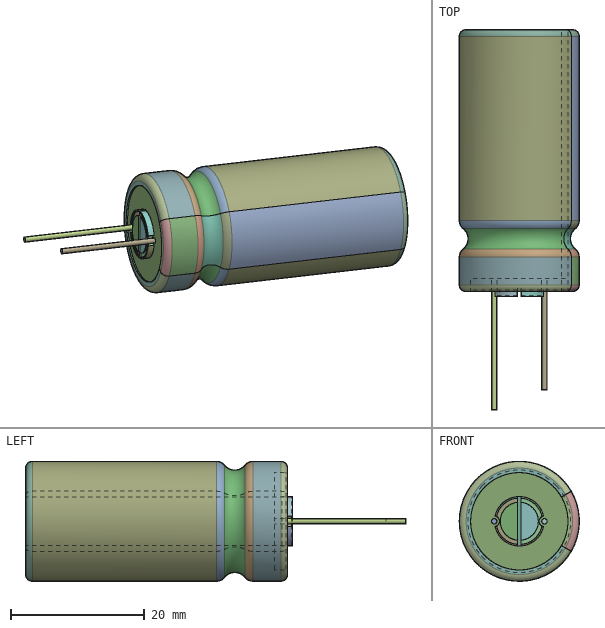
import cadquery as cq
import math


overall_length = 57.0

can_radius = 9.0
can_length = 39.3
end_fillet = 1.0
opening_radius = 7.3
stripe_angle = 60.0

neck_center = 7.9
neck_half_width = 2.75
neck_depth = 1.3
neck_arc_half_width = 1.55

plug_recess = 0.2
plug_thickness = 1.7
boss_radius = 3.7
boss_height = 0.75
groove_outer_radius = 3.5
groove_inner_radius = 2.85
groove_depth = 0.15
slot_width = 0.55
slot_length = 7.45
slot_depth = 1.6

lead_radius = 0.4
lead_offset = 3.75
lead_clearance_radius = 0.8
long_lead_length = overall_length - can_length
short_lead_length = 14.7

plug_back = plug_recess + plug_thickness


def cylinder(radius, start, end, x=0):
    """Cylinder along Y between two Y positions."""
    plane = cq.Plane(origin=(x, start, 0), xDir=(1, 0, 0), normal=(0, 1, 0))
    return cq.Workplane(plane).circle(radius).extrude(end - start)


def make_can_blank():
    """Solid can with rounded ends and a rolled neck."""
    sweep = 2 * math.atan(neck_depth / neck_half_width)
    shoulder_radius = (neck_half_width - neck_arc_half_width) / math.sin(sweep)
    tangent_radius = can_radius - shoulder_radius * (1 - math.cos(sweep))
    neck_bottom = (can_radius - neck_depth, neck_center)

    def shoulder_middle(side):
        radius = can_radius - shoulder_radius * (1 - math.cos(sweep / 2))
        y = neck_center + side * (neck_half_width - shoulder_radius * math.sin(sweep / 2))
        return (radius, y)

    fillet_inset = end_fillet * (1 - math.sqrt(0.5))
    flat_radius = can_radius - end_fillet
    profile = (
        cq.Workplane("XY")
        .lineTo(flat_radius, 0)
        .threePointArc((can_radius - fillet_inset, fillet_inset), (can_radius, end_fillet))
        .lineTo(can_radius, neck_center - neck_half_width)
        .threePointArc(shoulder_middle(-1), (tangent_radius, neck_center - neck_arc_half_width))
        .threePointArc(neck_bottom, (tangent_radius, neck_center + neck_arc_half_width))
        .threePointArc(shoulder_middle(1), (can_radius, neck_center + neck_half_width))
        .lineTo(can_radius, can_length - end_fillet)
        .threePointArc((can_radius - fillet_inset, can_length - fillet_inset), (flat_radius, can_length))
        .lineTo(0, can_length)
        .close()
    )
    return profile.revolve(360, (0, 0, 0), (0, 1, 0))


def make_stripe_sector():
    """Wedge around +X, outside the opening radius, that holds the polarity stripe."""
    reach = 2 * can_radius
    half_height = reach * math.tan(math.radians(stripe_angle / 2))
    wedge = (
        cq.Workplane("XZ")
        .polyline([(0, 0), (reach, -half_height), (reach, half_height)])
        .close()
        .extrude(-can_length)
    )
    return wedge.cut(cylinder(opening_radius, 0, can_length))


def make_plug():
    """Recessed base disc with a grooved, slotted boss, notched around the leads."""
    boss = cylinder(boss_radius, -boss_height, plug_recess)
    groove_floor = groove_depth - boss_height
    groove = cylinder(groove_outer_radius, -boss_height, groove_floor).cut(
        cylinder(groove_inner_radius, -boss_height, groove_floor)
    )
    boss = boss.cut(groove)
    for side in (-1, 1):
        boss = boss.cut(
            cylinder(lead_clearance_radius, -boss_height, plug_recess, side * lead_offset)
        )
    plug = cylinder(opening_radius, plug_recess, plug_back).union(boss)

    slot = (
        cq.Workplane("XZ", origin=(0, slot_depth - boss_height, 0))
        .rect(slot_width, slot_length)
        .extrude(slot_depth)
    )
    return plug.cut(slot)


def make_lead(x, length):
    """Round wire that runs through the plug."""
    return cylinder(lead_radius, -length, plug_back, x)


can_blank = make_can_blank()
stripe_sector = make_stripe_sector()
stripe = can_blank.intersect(stripe_sector)
can = can_blank.cut(stripe_sector).cut(cylinder(opening_radius, 0, plug_back))

plug = make_plug()
leads = []
for x, length in ((-lead_offset, long_lead_length), (lead_offset, short_lead_length)):
    lead = make_lead(x, length)
    plug = plug.cut(lead)
    leads.append(lead)

result = cq.Compound.makeCompound([can.val(), stripe.val(), plug.val(), *[lead.val() for lead in leads]])